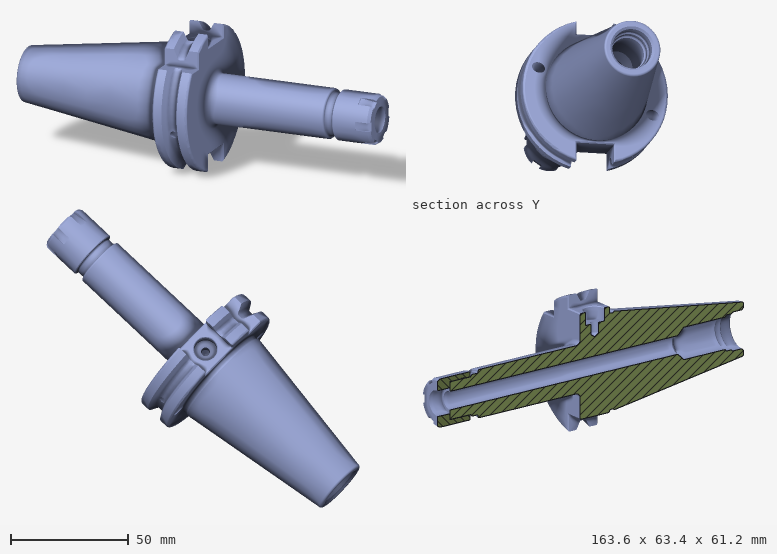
import cadquery as cq
import math


total_length = 163.6

taper_length = 69.0
taper_large_radius = 22.2
taper_slope = 7 / 24 / 2
taper_small_radius = taper_large_radius - taper_slope * taper_length
taper_end_fillet = 1.0

neck_radius = 21.8
neck_chamfer = 1.0
neck_root_fillet = 0.5

flange_start = 71.5
flange_end = 87.5
flange_radius = 31.7
flange_fillet = 1.0

groove_center = 79.5
groove_depth = 3.6
groove_lip_width = 7.0
groove_flank_angle = 30.0
groove_fillet = 1.1
groove_floor_radius = flange_radius - groove_depth
groove_floor_width = groove_lip_width - 2 * groove_depth * math.tan(math.radians(groove_flank_angle))

slot_width = 16.4
upper_slot_floor = 24.9
lower_slot_floor = 22.9
notch_offset = 18.5
rim_chamfer = 0.5
rim_clearance = 1.6

chip_pocket_diameter = 10.0
chip_pocket_depth = 5.9
chip_pocket_chamfer = 0.3
screw_hole_diameter = 3.8
screw_hole_depth = 4.9
drill_point_angle = 118.0

duct_angle = 20.0
duct_radius = 26.5
duct_diameter = 4.4
duct_tilt = 40.0
duct_length = 10.6
lock_hole_diameter = 3.3
lock_hole_depth = 6.5

shaft_radius = 11.0
shaft_end = 142.0
shaft_end_fillet = 0.8
shaft_root_fillet = 2.0
collar_radius = 9.5
collar_root_fillet = 0.5
collar_chamfer = 0.8

nose_radius = collar_radius - collar_chamfer
nose_end = 157.0

bore_mouth_radius = 9.7
pilot_radius = 8.7
pilot_depth = 5.9
relief_radius = 8.0
relief_depth = 9.2
thread_radius = 7.2
thread_depth = 32.0
through_radius = 4.1
bore_chamfer = 1.0

nut_start = 146.0
nut_radius = shaft_radius
nut_opening_radius = 5.7
nut_rear_chamfer = 0.3
nut_front_chamfer_length = 1.3
nut_front_chamfer_depth = 0.8
nut_slot_count = 6
nut_slot_angle = 27.0
nut_slot_width = 4.0
nut_slot_length = 6.9
nut_slot_shallow_depth = 0.3
nut_slot_deep_depth = 2.0


def rod(start, end, radius):
    """Cylinder on the X axis."""
    return cq.Workplane("YZ", origin=(start, 0, 0)).circle(radius).extrude(end - start)


def turned(points):
    """Solid of revolution about the X axis from (x, radius) points."""
    return cq.Workplane("XZ").polyline(points).close().revolve(360, (0, 0, 0), (1, 0, 0))


def make_taper():
    cone = turned([
        (0, 0),
        (0, taper_small_radius),
        (taper_length, taper_large_radius),
        (taper_length + neck_chamfer, neck_radius),
        (flange_start, neck_radius),
        (flange_start, 0),
    ])
    return cone.faces("<X").edges().fillet(taper_end_fillet)


def make_groove_cutter():
    """Ring with a V section; its narrow inner rims are rounded."""
    half_lip = groove_lip_width / 2
    half_floor = groove_floor_width / 2
    ring = turned([
        (groove_center - half_lip, flange_radius),
        (groove_center - half_floor, groove_floor_radius),
        (groove_center + half_floor, groove_floor_radius),
        (groove_center + half_lip, flange_radius),
    ])
    floor_edges = cq.selectors.RadiusNthSelector(0)
    return ring.edges(floor_edges).fillet(groove_fillet)


def make_rim_cutter(y_min, y_max, z_min, z_max):
    """Rectangular cut along X through the flange, flared at both flange faces."""
    width = y_max - y_min
    height = z_max - z_min
    center = ((y_min + y_max) / 2, (z_min + z_max) / 2)
    length = flange_end - flange_start
    start_face = cq.Workplane("YZ", origin=(flange_start, 0, 0))
    cutter = start_face.center(*center).rect(width, height).extrude(length)
    for face_x, inward in ((flange_start, 1), (flange_end, -1)):
        flare = (
            cq.Workplane("YZ", origin=(face_x, 0, 0))
            .center(*center)
            .rect(width + 2 * rim_chamfer, height + 2 * rim_chamfer)
            .workplane(offset=inward * rim_chamfer)
            .rect(width, height)
            .loft()
        )
        cutter = cutter.union(flare)
    return cutter


def make_flange():
    outer = flange_radius + rim_clearance
    half_slot = slot_width / 2
    flange = rod(flange_start, flange_end, flange_radius).edges().fillet(flange_fillet)
    flange = flange.cut(make_groove_cutter())
    flange = flange.cut(make_rim_cutter(-half_slot, half_slot, upper_slot_floor, outer))
    flange = flange.cut(make_rim_cutter(-half_slot, half_slot, -outer, -lower_slot_floor))
    return flange.cut(make_rim_cutter(-outer, -notch_offset, notch_offset, outer))


def make_shaft():
    shaft = rod(flange_end, shaft_end, shaft_radius).faces(">X").edges().fillet(shaft_end_fillet)
    collar = rod(shaft_end, nut_start, collar_radius).faces(">X").edges().chamfer(collar_chamfer)
    return shaft.union(collar).union(rod(nut_start, nose_end, nose_radius))


def make_bore():
    return turned([
        (0, 0),
        (0, bore_mouth_radius),
        (bore_chamfer, pilot_radius),
        (pilot_depth, pilot_radius),
        (pilot_depth + pilot_radius - relief_radius, relief_radius),
        (relief_depth, relief_radius),
        (relief_depth + relief_radius - thread_radius, thread_radius),
        (thread_depth, thread_radius),
        (thread_depth + thread_radius - through_radius, through_radius),
        (nose_end, through_radius),
        (nose_end, 0),
    ])


def make_chip_pocket():
    """Round pocket with a chamfered mouth, and a screw hole with a drill point in its floor."""
    pocket_radius = chip_pocket_diameter / 2
    hole_radius = screw_hole_diameter / 2
    point_length = hole_radius / math.tan(math.radians(drill_point_angle / 2))
    hole_bottom = -chip_pocket_depth - screw_hole_depth
    return (
        cq.Workplane("XZ", origin=(groove_center, 0, upper_slot_floor))
        .polyline([
            (0, 0),
            (pocket_radius + chip_pocket_chamfer, 0),
            (pocket_radius, -chip_pocket_chamfer),
            (pocket_radius, -chip_pocket_depth),
            (hole_radius, -chip_pocket_depth),
            (hole_radius, hole_bottom),
            (0, hole_bottom - point_length),
        ])
        .close()
        .revolve(360, (0, 0, 0), (0, 1, 0))
    )


def make_duct(angle):
    """Tilted coolant duct from the flange face, met by a radial locking-screw hole from the groove."""
    tilt = math.radians(duct_tilt)
    direction = cq.Vector(math.cos(tilt), -math.sin(tilt), 0)
    entry = cq.Vector(flange_start, duct_radius, 0)
    lead_in = duct_diameter
    duct = cq.Solid.makeCylinder(
        duct_diameter / 2, lead_in + duct_length, entry - direction * lead_in, direction
    )
    lock_top = cq.Vector(groove_center, flange_radius, 0)
    lock_hole = cq.Solid.makeCylinder(
        lock_hole_diameter / 2, groove_depth + lock_hole_depth, lock_top, cq.Vector(0, -1, 0)
    )
    return cq.Workplane(duct).union(cq.Workplane(lock_hole)).rotate((0, 0, 0), (1, 0, 0), angle)


def root_edge(x, radius):
    """Selector of the inside corner where a cylinder of this radius meets a face at this x."""
    margin = 0.2
    reach = radius + margin
    low_corner = (x - margin, -reach, -reach)
    high_corner = (x + margin, reach, reach)
    return cq.selectors.BoxSelector(low_corner, high_corner, boundingbox=True)


def make_holder():
    holder = make_taper().union(make_flange()).union(make_shaft())
    holder = holder.edges(root_edge(flange_start, neck_radius)).fillet(neck_root_fillet)
    holder = holder.edges(root_edge(flange_end, shaft_radius)).fillet(shaft_root_fillet)
    holder = holder.edges(root_edge(shaft_end, collar_radius)).fillet(collar_root_fillet)
    holder = holder.cut(make_bore()).cut(make_chip_pocket())
    for angle in (duct_angle, duct_angle + 180):
        holder = holder.cut(make_duct(angle))
    return holder


def make_nut_slot(angle):
    """Wrench slot whose floor slopes deeper towards the front face."""
    slot_start = total_length - nut_slot_length
    return (
        cq.Workplane("XZ", origin=(0, nut_slot_width / 2, 0))
        .polyline([
            (slot_start, nut_radius - nut_slot_shallow_depth),
            (total_length, nut_radius - nut_slot_deep_depth),
            (total_length, nut_radius + nut_slot_width),
            (slot_start, nut_radius + nut_slot_width),
        ])
        .close()
        .extrude(nut_slot_width)
        .rotate((0, 0, 0), (1, 0, 0), angle)
    )


def make_nut():
    nut = turned([
        (nut_start, nose_radius),
        (nut_start, nut_radius - nut_rear_chamfer),
        (nut_start + nut_rear_chamfer, nut_radius),
        (total_length - nut_front_chamfer_length, nut_radius),
        (total_length, nut_radius - nut_front_chamfer_depth),
        (total_length, nut_opening_radius),
        (nose_end, nut_opening_radius),
        (nose_end, nose_radius),
    ])
    for index in range(nut_slot_count):
        nut = nut.cut(make_nut_slot(-nut_slot_angle + index * 360 / nut_slot_count))
    return nut


holder = make_holder()
nut = make_nut()

result = cq.Compound.makeCompound([holder.solids().val(), nut.solids().val()])